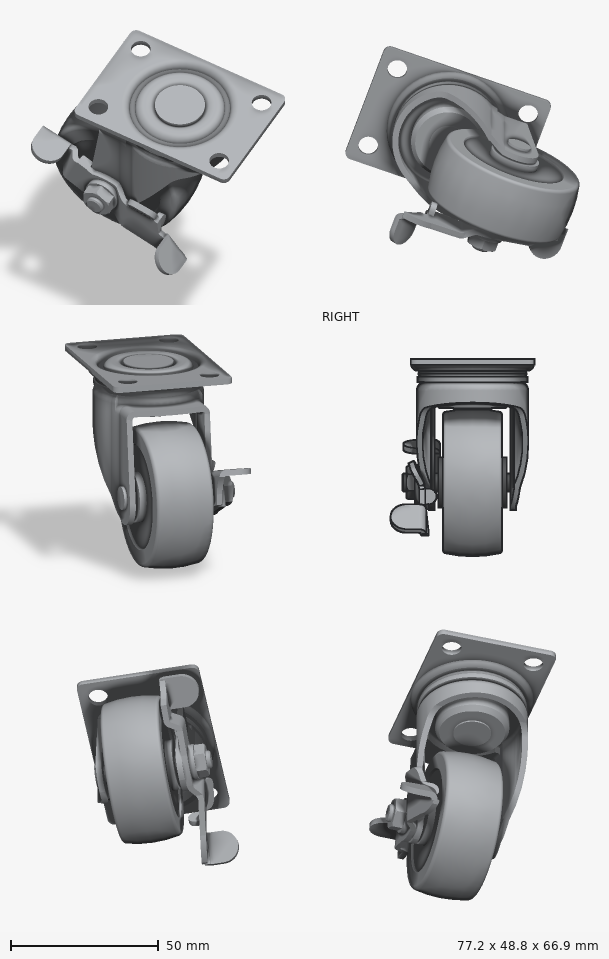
import cadquery as cq
import math


SHEET = 2.0
TOTAL_HEIGHT = 66.85
AXLE_X = -20.0
WHEEL_RADIUS = 25.0
AXLE_Z = WHEEL_RADIUS
AXLE_RADIUS = 3.1

PLATE_LENGTH = 60.05
PLATE_WIDTH = 42.0
PLATE_CORNER_RADIUS = 2.3
MOUNT_HOLE_DIAMETER = 6.6
MOUNT_SPACING_X = 47.1
MOUNT_SPACING_Y = 28.95
PLATE_BOTTOM = TOTAL_HEIGHT - SHEET
DISH_RADIUS = 19.7
DISH_FLOOR_RADIUS = 17.0
DISH_UNDER_RADIUS = 20.85
DISH_UNDER_FLOOR_RADIUS = 19.15
DISH_UNDERSIDE = PLATE_BOTTOM - SHEET
RIDGE_FOOT_RADIUS = 15.3
RIDGE_OUTER_RADIUS = 12.35
RIDGE_INNER_RADIUS = 11.6
COLLAR_DROP = 1.5
DISH_RIM_SAG = 0.55
RIDGE_SAG = 0.6
COLLAR_SAG = 0.4
DISH_UNDER_SAG = 0.3

PIN_RADIUS = 8.5
NECK_RADIUS = 14.9
SEAL_RADIUS = 18.4
SEAL_BEVEL = 0.3
SEAL_TOP = 62.5
SEAL_EDGE_Z = 61.9
RING_RADIUS = 18.7
RING_TOP = 60.75
RACE_RADIUS = 12.6
RACE_EDGE_Z = 51.95
RACE_BOTTOM_RADIUS = 11.2
RACE_BOTTOM = 50.2
RIVET_RADIUS = 6.4
RIVET_HEIGHT = 0.55

FORK_TOP = 59.0
FORK_RADIUS = 18.9
FORK_EDGE_RADIUS = 2.85
BRIDGE_TOP = FORK_TOP - FORK_EDGE_RADIUS
LEG_OUTER_Y = 14.75
FLARE_START_X = -15.05
FLARE_END_X = -9.8
SHOULDER_SHARE = 0.55
LEG_END_RADIUS = 9.35
LEG_FRONT_TOP = (-23.15, 53.25)
LEG_FRONT_FOOT = (-27.1, 25.0)
LEG_FRONT_CORNER = (-25.5, 18.45)
LEG_REAR_LEAN = 33.7
LEG_REAR_TOP_Z = 47.5
SKIRT_BOTTOM = 52.1
SKIRT_END = (10.0, 50.3)
SKIRT_SAG = 0.4
BRIDGE_BULGE = 1.8

WHEEL_WIDTH = 20.1
TREAD_WIDTH = 17.9
TREAD_EDGE_RADIUS = 24.0
WHEEL_FACE_RADIUS = 22.55
WHEEL_RECESS_RADIUS = 18.1
WHEEL_RECESS_DEPTH = 0.8
WHEEL_RECESS_TAPER = 0.5
RIM_SAG = 0.4
HUB_RADIUS = 8.6
HUB_WIDTH = 23.3

AXLE_HEAD_RADIUS = 4.0
AXLE_HEAD_HEIGHT = 1.1
AXLE_TIP_Y = -23.8
AXLE_TIP_CHAMFER = 0.5
WASHER_RADIUS = 6.0
WASHER_THICKNESS = 1.9
NUT_ACROSS_FLATS = 9.8
NUT_TIP_Y = -22.4
NUT_BEVEL = 0.55

LEVER_BACK_Y = -LEG_OUTER_Y
LEVER_FRONT_Y = LEVER_BACK_Y - SHEET
SHOE_FRONT_Y = -12.9
ARM_FRONT_Y = -19.75
ARM_BEND_X = -11.6
ARM_END_X = 12.35
ARM_SLOPE = 0.13
SHOE_BEND_RADII = [0.55, 0.55]
ARM_BEND_RADII = [2.15, 1.5]
SHOE_BEND_LEAN = 0.356
ARM_BEND_LEAN = 0.05

LOCK_PEDAL_WIDTH = 11.4
LOCK_PEDAL_ROOT = (-41.6, 36.1)
LOCK_PEDAL_BEND_RADIUS = 0.15
LOCK_PEDAL_ANGLE = 15.0
LOCK_PEDAL_TIP_Y = -23.5
RELEASE_PEDAL_WIDTH = 11.0
RELEASE_PEDAL_ROOT = (7.6, 12.2)
RELEASE_PEDAL_BEND_RADIUS = 0.7
RELEASE_PEDAL_ANGLE = 50.2
RELEASE_PEDAL_ROOT_Y = -15.6
RELEASE_PEDAL_TIP_Y = -27.8

STOP_TAB_WIDTH = 10.65
STOP_TAB_HEIGHT = 5.7
STOP_TAB_CORNER_RADIUS = 2.9
STOP_TAB_ROOT = (-4.8, -18.8, 25.8)
STOP_TAB_ROOT_DEPTH = 0.5
STOP_TAB_LEAN = 29.0
STOP_TAB_ANGLE = 20.0

LEG_STOP_X = -28.4
LEG_STOP_Z = 33.9
LEG_STOP_LENGTH = 4.5
LEG_STOP_TIP_Y = -12.8
LEG_STOP_CORNER_RADIUS = 0.8
LEG_STOP_ANGLE = 23.0

LUG_X = 1.5
LUG_TIP_Y = -12.1
LUG_WIDTH = 5.25
LUG_Z = 20.3


def cylinder_y(radius, y_start, y_end):
    """Cylinder on the axle line between two Y positions."""
    low = min(y_start, y_end)
    return (
        cq.Workplane("XZ", origin=(AXLE_X, low, AXLE_Z))
        .circle(radius)
        .extrude(-abs(y_end - y_start))
    )


def arc_middle(start, end, sag):
    """Middle point of an arc from start to end that bows by sag to the left of its chord."""
    chord_x = end[0] - start[0]
    chord_z = end[1] - start[1]
    length = math.hypot(chord_x, chord_z)
    return (
        (start[0] + end[0]) / 2 - sag * chord_z / length,
        (start[1] + end[1]) / 2 + sag * chord_x / length,
    )


def make_plate():
    """Rectangular plate with a pressed dish, a raised ridge and a pin hole in its middle."""
    sheet = (
        cq.Workplane("XY", origin=(0, 0, PLATE_BOTTOM))
        .rect(PLATE_LENGTH, PLATE_WIDTH)
        .extrude(SHEET)
        .edges("|Z")
        .fillet(PLATE_CORNER_RADIUS)
        .faces(">Z")
        .workplane()
        .rect(MOUNT_SPACING_X, MOUNT_SPACING_Y, forConstruction=True)
        .vertices()
        .hole(MOUNT_HOLE_DIAMETER)
    )
    opening = cq.Workplane("XY", origin=(0, 0, PLATE_BOTTOM)).circle(DISH_RADIUS).extrude(SHEET)

    dish_rim = (DISH_RADIUS, TOTAL_HEIGHT)
    dish_floor = (DISH_FLOOR_RADIUS, PLATE_BOTTOM)
    ridge_foot = (RIDGE_FOOT_RADIUS, PLATE_BOTTOM)
    ridge_outer = (RIDGE_OUTER_RADIUS, TOTAL_HEIGHT)
    ridge_inner = (RIDGE_INNER_RADIUS, TOTAL_HEIGHT)
    collar = (PIN_RADIUS, TOTAL_HEIGHT - COLLAR_DROP)
    under_rim = (DISH_UNDER_RADIUS, PLATE_BOTTOM)
    under_floor = (DISH_UNDER_FLOOR_RADIUS, DISH_UNDERSIDE)
    dish = (
        cq.Workplane("XZ")
        .moveTo(*dish_rim)
        .threePointArc(arc_middle(dish_rim, dish_floor, -DISH_RIM_SAG), dish_floor)
        .lineTo(*ridge_foot)
        .threePointArc(arc_middle(ridge_foot, ridge_outer, -RIDGE_SAG), ridge_outer)
        .lineTo(*ridge_inner)
        .threePointArc(arc_middle(ridge_inner, collar, -COLLAR_SAG), collar)
        .lineTo(PIN_RADIUS, collar[1] - SHEET)
        .lineTo(RIDGE_INNER_RADIUS, PLATE_BOTTOM)
        .lineTo(RIDGE_OUTER_RADIUS, PLATE_BOTTOM)
        .lineTo(RIDGE_FOOT_RADIUS - SHEET / 2, DISH_UNDERSIDE)
        .lineTo(*under_floor)
        .threePointArc(arc_middle(under_floor, under_rim, -DISH_UNDER_SAG), under_rim)
        .lineTo(DISH_UNDER_RADIUS, TOTAL_HEIGHT)
        .close()
        .revolve(360, (0, 0, 0), (0, 1, 0))
    )
    return sheet.cut(opening).union(dish)


def make_swivel():
    """Swivel pin with the seal ring above the fork and the race riveted on below it."""
    race_top = FORK_TOP - SHEET
    profile = [
        (0, TOTAL_HEIGHT),
        (PIN_RADIUS, TOTAL_HEIGHT),
        (PIN_RADIUS, DISH_UNDERSIDE),
        (NECK_RADIUS, DISH_UNDERSIDE),
        (NECK_RADIUS, SEAL_TOP),
        (SEAL_RADIUS - SEAL_BEVEL, SEAL_TOP),
        (SEAL_RADIUS, SEAL_EDGE_Z),
        (SEAL_RADIUS - SEAL_BEVEL, RING_TOP),
        (RING_RADIUS, RING_TOP),
        (RING_RADIUS, FORK_TOP),
        (PIN_RADIUS, FORK_TOP),
        (PIN_RADIUS, race_top),
        (RACE_RADIUS, race_top),
        (RACE_RADIUS, RACE_EDGE_Z),
        (RACE_BOTTOM_RADIUS, RACE_BOTTOM),
        (RIVET_RADIUS, RACE_BOTTOM),
        (RIVET_RADIUS, RACE_BOTTOM - RIVET_HEIGHT),
        (0, RACE_BOTTOM - RIVET_HEIGHT),
    ]
    return cq.Workplane("XZ").polyline(profile).close().revolve(360, (0, 0, 0), (0, 1, 0))


def fork_block(inset):
    """Solid with the outer shape of the fork before trimming, shrunk by inset on all walls."""
    radius = FORK_RADIUS - inset
    leg_y = LEG_OUTER_Y - inset
    edge_radius = FORK_EDGE_RADIUS - inset
    front_x = AXLE_X - LEG_END_RADIUS - SHEET
    flare_end_y = math.sqrt(FORK_RADIUS**2 - FLARE_END_X**2) - inset
    shoulder_y = leg_y + (flare_end_y - leg_y) * SHOULDER_SHARE
    shoulder_x = FLARE_START_X + (FLARE_END_X - FLARE_START_X) * SHOULDER_SHARE
    shoulders = [
        (shoulder_x, shoulder_y),
        (FLARE_END_X, flare_end_y),
        (FLARE_END_X, -flare_end_y),
        (shoulder_x, -shoulder_y),
    ]
    raised = cq.Workplane("XY").circle(radius).extrude(FORK_TOP - inset)
    raised = raised.union(cq.Workplane("XY").polyline(shoulders).close().extrude(FORK_TOP - inset))
    raised = raised.faces(">Z").edges().fillet(edge_radius)
    outline = [
        (front_x, leg_y),
        (FLARE_START_X, leg_y),
        (FLARE_END_X, flare_end_y),
        (FLARE_END_X, -flare_end_y),
        (FLARE_START_X, -leg_y),
        (front_x, -leg_y),
    ]
    legs = cq.Workplane("XY").polyline(outline).close().extrude(BRIDGE_TOP - inset)
    legs = legs.faces(">Z").edges("not |Y").fillet(edge_radius)
    return raised.union(legs)


def fork_side_outline():
    """Side shape of the fork, as a slab across the whole width."""
    rear_slope = math.radians(LEG_REAR_LEAN)
    tangent_x = AXLE_X + LEG_END_RADIUS * math.cos(rear_slope)
    tangent_z = AXLE_Z - LEG_END_RADIUS * math.sin(rear_slope)
    curve_end_x = tangent_x + (LEG_REAR_TOP_Z - tangent_z) * math.tan(rear_slope)
    curve_end = (curve_end_x, LEG_REAR_TOP_Z)
    bridge_front = LEG_FRONT_TOP[0] - BRIDGE_BULGE
    depth = 2 * FORK_RADIUS
    foot_bottom = (AXLE_X, AXLE_Z - LEG_END_RADIUS)
    foot_turn = (math.pi / 2 + rear_slope) / 2
    foot_quarter = (
        AXLE_X + LEG_END_RADIUS * math.cos(foot_turn),
        AXLE_Z - LEG_END_RADIUS * math.sin(foot_turn),
    )
    return (
        cq.Workplane("XZ", origin=(0, depth / 2, 0))
        .moveTo(*LEG_FRONT_FOOT)
        .lineTo(*LEG_FRONT_TOP)
        .lineTo(bridge_front, LEG_FRONT_TOP[1])
        .lineTo(bridge_front, FORK_TOP)
        .lineTo(FORK_RADIUS, FORK_TOP)
        .lineTo(FORK_RADIUS, SKIRT_BOTTOM)
        .lineTo(*SKIRT_END)
        .threePointArc(arc_middle(SKIRT_END, curve_end, -SKIRT_SAG), curve_end)
        .lineTo(tangent_x, tangent_z)
        .threePointArc(foot_quarter, foot_bottom)
        .threePointArc(LEG_FRONT_CORNER, LEG_FRONT_FOOT)
        .close()
        .extrude(depth)
    )


def bridge_front_trim():
    """Material in front of the bowed edge of the bridge."""
    corner_x, trim_bottom = LEG_FRONT_TOP
    return (
        cq.Workplane("XY", origin=(0, 0, trim_bottom))
        .moveTo(corner_x, LEG_OUTER_Y)
        .threePointArc((corner_x - BRIDGE_BULGE, 0), (corner_x, -LEG_OUTER_Y))
        .lineTo(corner_x - 2 * BRIDGE_BULGE, -LEG_OUTER_Y)
        .lineTo(corner_x - 2 * BRIDGE_BULGE, LEG_OUTER_Y)
        .close()
        .extrude(FORK_TOP - trim_bottom)
    )


def make_fork():
    """Pressed fork: a raised disc, a bridge in front of it and two legs beside the wheel."""
    shell = fork_block(0).cut(fork_block(SHEET))
    pin_hole = cq.Workplane("XY").circle(PIN_RADIUS).extrude(TOTAL_HEIGHT)
    axle_hole = cylinder_y(AXLE_RADIUS, -FORK_RADIUS, FORK_RADIUS)
    fork = shell.intersect(fork_side_outline())
    return fork.cut(bridge_front_trim()).cut(pin_hole).cut(axle_hole)


def make_wheel():
    """Wheel with a crowned tread, a shallow recess in each face and a hub."""
    half_tread = TREAD_WIDTH / 2
    face_y = WHEEL_WIDTH / 2
    recess_y = face_y - WHEEL_RECESS_DEPTH
    hub_y = HUB_WIDTH / 2
    recess_floor_radius = WHEEL_RECESS_RADIUS - WHEEL_RECESS_TAPER
    rim_middle = arc_middle((WHEEL_FACE_RADIUS, face_y), (TREAD_EDGE_RADIUS, half_tread), RIM_SAG)
    profile = (
        cq.Workplane("XY")
        .moveTo(AXLE_RADIUS, -hub_y)
        .lineTo(HUB_RADIUS, -hub_y)
        .lineTo(HUB_RADIUS, -recess_y)
        .lineTo(recess_floor_radius, -recess_y)
        .lineTo(WHEEL_RECESS_RADIUS, -face_y)
        .lineTo(WHEEL_FACE_RADIUS, -face_y)
        .threePointArc((rim_middle[0], -rim_middle[1]), (TREAD_EDGE_RADIUS, -half_tread))
        .threePointArc((WHEEL_RADIUS, 0), (TREAD_EDGE_RADIUS, half_tread))
        .threePointArc(rim_middle, (WHEEL_FACE_RADIUS, face_y))
        .lineTo(WHEEL_RECESS_RADIUS, face_y)
        .lineTo(recess_floor_radius, recess_y)
        .lineTo(HUB_RADIUS, recess_y)
        .lineTo(HUB_RADIUS, hub_y)
        .lineTo(AXLE_RADIUS, hub_y)
        .close()
    )
    return profile.revolve(360, (0, 0, 0), (0, 1, 0)).translate((AXLE_X, 0, AXLE_Z))


def make_axle():
    """Axle bolt with its head behind the fork and its washer and nut in front of the lever."""
    washer_front = LEVER_FRONT_Y - WASHER_THICKNESS
    shaft = cylinder_y(AXLE_RADIUS, AXLE_TIP_Y, LEG_OUTER_Y).faces("<Y").chamfer(AXLE_TIP_CHAMFER)
    head = cylinder_y(AXLE_HEAD_RADIUS, LEG_OUTER_Y, LEG_OUTER_Y + AXLE_HEAD_HEIGHT)
    washer = cylinder_y(WASHER_RADIUS, washer_front, LEVER_FRONT_Y)
    across_corners = NUT_ACROSS_FLATS / math.cos(math.pi / 6)
    nut = (
        cq.Workplane("XZ", origin=(AXLE_X, NUT_TIP_Y, AXLE_Z))
        .transformed(rotate=(0, 0, 90))
        .polygon(6, across_corners)
        .extrude(NUT_TIP_Y - washer_front)
    )
    bevel = cylinder_y(across_corners / 2, NUT_TIP_Y, washer_front).faces("<Y").chamfer(NUT_BEVEL)
    return shaft.union(head).union(washer).union(nut.intersect(bevel))


def bent_strip(front_points, inner_radii, lean):
    """Tall strip of sheet whose front face follows front_points in X and Y at axle height.

    Each bend has its own inner radius, and the bend lines lean by lean along X per unit of Z.
    """
    turns = []
    for (x0, y0), (x1, y1) in zip(front_points, front_points[1:]):
        turns.append(math.atan2(y1 - y0, x1 - x0))
    turns_before = [turns[0]] + turns
    turns_after = turns + [turns[-1]]
    back_points = []
    for (x, y), before, after in zip(front_points, turns_before, turns_after):
        middle = (before + after) / 2
        reach = SHEET / math.cos((after - before) / 2)
        back_points.append((x - reach * math.sin(middle), y + reach * math.cos(middle)))

    height = 2 * AXLE_Z
    wire = cq.Workplane("XY").polyline(front_points + back_points[::-1]).close().val()
    rise = cq.Vector(lean * height, 0, height)
    strip = cq.Workplane(cq.Solid.extrudeLinear(wire, [], rise)).translate((-lean * AXLE_Z, 0, 0))

    for i, inner_radius in enumerate(inner_radii, start=1):
        inner_point = back_points[i]
        outer_point = front_points[i]
        if turns_after[i] < turns_before[i]:
            inner_point, outer_point = outer_point, inner_point
        for (x, y), radius in ((inner_point, inner_radius), (outer_point, inner_radius + SHEET)):
            strip = strip.edges(cq.NearestToPointSelector((x, y, AXLE_Z))).fillet(radius)
    return strip


def lever_side_outline():
    """Side shape of the flat part of the lever, as a slab in Y."""
    depth = 2 * FORK_RADIUS
    return (
        cq.Workplane("XZ")
        .moveTo(-47.1, 37.75)
        .threePointArc((-44.5, 33.4), (-43.9, 30.5))
        .lineTo(-44.0, 26.8)
        .lineTo(-34.7, 23.3)
        .lineTo(-27.0, 19.7)
        .threePointArc((-22.0, 17.1), (-16.75, 16.05))
        .lineTo(-12.5, 15.75)
        .lineTo(0, 9.7)
        .threePointArc((4.3, 7.6), (9.3, 7.0))
        .lineTo(10.5, 7.8)
        .lineTo(3.55, 16.05)
        .lineTo(1.9, 17.45)
        .lineTo(LUG_X, 22.8)
        .lineTo(0.2, 23.9)
        .lineTo(-9.8, 27.55)
        .lineTo(-15.05, 31.2)
        .threePointArc((-19.7, 32.3), (-24.7, 31.95))
        .lineTo(-30.1, 34.5)
        .lineTo(-34.5, 34.9)
        .lineTo(-36.3, 34.9)
        .close()
        .extrude(depth)
    )


def pedal(width, root_y, tip_y, inner_radius, root_centre, angle):
    """Pedal with a round tip pointing to -Y, bent out of the sheet that ends below its root.

    root_centre is the X, Z of the middle of its underside.
    """
    half = width / 2
    bend_y = root_y - SHEET - inner_radius
    inner_middle = inner_radius * math.sqrt(0.5)
    outer_middle = (SHEET + inner_radius) * math.sqrt(0.5)
    side = (
        cq.Workplane("YZ", origin=(-half, 0, 0))
        .moveTo(root_y, -inner_radius)
        .lineTo(root_y - SHEET, -inner_radius)
        .threePointArc((bend_y + inner_middle, inner_middle - inner_radius), (bend_y, 0))
        .lineTo(tip_y, 0)
        .lineTo(tip_y, SHEET)
        .lineTo(bend_y, SHEET)
        .threePointArc((bend_y + outer_middle, outer_middle - inner_radius), (root_y, -inner_radius))
        .close()
        .extrude(width)
    )
    plan = (
        cq.Workplane("XY", origin=(0, 0, -inner_radius))
        .moveTo(-half, root_y)
        .lineTo(-half, tip_y + half)
        .threePointArc((0, tip_y), (half, tip_y + half))
        .lineTo(half, root_y)
        .close()
        .extrude(SHEET + inner_radius)
    )
    flat_pedal = side.intersect(plan).rotate((0, 0, 0), (0, 1, 0), angle)
    return flat_pedal.translate((root_centre[0], 0, root_centre[1]))


def stop_tab():
    """Rounded tab on the upper edge of the arm, leaning out away from the wheel."""
    return (
        cq.Workplane("XY")
        .box(STOP_TAB_WIDTH, SHEET, STOP_TAB_HEIGHT + STOP_TAB_ROOT_DEPTH, centered=(True, False, False))
        .edges("|Y and >Z")
        .fillet(STOP_TAB_CORNER_RADIUS)
        .translate((0, 0, -STOP_TAB_ROOT_DEPTH))
        .rotate((0, 0, 0), (1, 0, 0), STOP_TAB_LEAN)
        .rotate((0, 0, 0), (0, 1, 0), STOP_TAB_ANGLE)
        .rotate((0, 0, 0), (0, 0, 1), math.degrees(math.atan(ARM_SLOPE)))
        .translate(STOP_TAB_ROOT)
    )


def inner_lug():
    """Lug with a round tip at the rear edge of the arm, turned in towards the wheel."""
    half = LUG_WIDTH / 2
    straight_y = LUG_TIP_Y - half
    root_y = straight_y - SHEET
    return (
        cq.Workplane("YZ", origin=(LUG_X - SHEET, 0, LUG_Z))
        .moveTo(root_y, half)
        .lineTo(straight_y, half)
        .threePointArc((LUG_TIP_Y, 0), (straight_y, -half))
        .lineTo(root_y, -half)
        .close()
        .extrude(SHEET)
    )


def leg_stop():
    """Lug on the upper edge of the lever that stops it against the front edge of the fork leg."""
    reach = LEG_STOP_TIP_Y - LEVER_FRONT_Y
    return (
        cq.Workplane("XY")
        .box(LEG_STOP_LENGTH, reach, SHEET, centered=(True, False, False))
        .edges("|Z and >Y")
        .fillet(LEG_STOP_CORNER_RADIUS)
        .translate((0, LEVER_FRONT_Y, -SHEET))
        .rotate((0, 0, 0), (0, 1, 0), LEG_STOP_ANGLE)
        .translate((LEG_STOP_X, 0, LEG_STOP_Z))
    )


def make_brake_lever(fork_body):
    """Bent brake lever with two pedals, a stop tab and two lugs, cleared around the fork."""
    shoe_points = [
        (-50.95, SHOE_FRONT_Y),
        (-38.1, SHOE_FRONT_Y),
        (-35.75, LEVER_FRONT_Y),
        (-20.1, LEVER_FRONT_Y),
    ]
    arm_end_y = ARM_FRONT_Y + ARM_SLOPE * (ARM_END_X - ARM_BEND_X)
    arm_points = [
        (-24.7, LEVER_FRONT_Y),
        (-15.7, LEVER_FRONT_Y),
        (ARM_BEND_X, ARM_FRONT_Y),
        (ARM_END_X, arm_end_y),
    ]
    sheet = bent_strip(shoe_points, SHOE_BEND_RADII, SHOE_BEND_LEAN)
    sheet = sheet.union(bent_strip(arm_points, ARM_BEND_RADII, ARM_BEND_LEAN))
    lever = sheet.intersect(lever_side_outline())
    shoe_back_y = SHOE_FRONT_Y + SHEET
    lock_pedal = pedal(
        LOCK_PEDAL_WIDTH,
        shoe_back_y,
        LOCK_PEDAL_TIP_Y,
        LOCK_PEDAL_BEND_RADIUS,
        LOCK_PEDAL_ROOT,
        LOCK_PEDAL_ANGLE,
    )
    release_pedal = pedal(
        RELEASE_PEDAL_WIDTH,
        RELEASE_PEDAL_ROOT_Y,
        RELEASE_PEDAL_TIP_Y,
        RELEASE_PEDAL_BEND_RADIUS,
        RELEASE_PEDAL_ROOT,
        RELEASE_PEDAL_ANGLE,
    )
    for feature in (lock_pedal, release_pedal, stop_tab(), inner_lug(), leg_stop()):
        lever = lever.union(feature)
    axle_hole = cylinder_y(AXLE_RADIUS, -FORK_RADIUS, 0)
    washer_seat = cylinder_y(WASHER_RADIUS, LEVER_FRONT_Y, AXLE_TIP_Y)
    return lever.cut(axle_hole).cut(washer_seat).cut(fork_body)


plate = make_plate()
swivel = make_swivel()
fork = make_fork()
wheel = make_wheel()
axle = make_axle()
brake_lever = make_brake_lever(fork)

bodies = (plate, swivel, fork, wheel, axle, brake_lever)
result = cq.Compound.makeCompound([body.solids().val() for body in bodies])